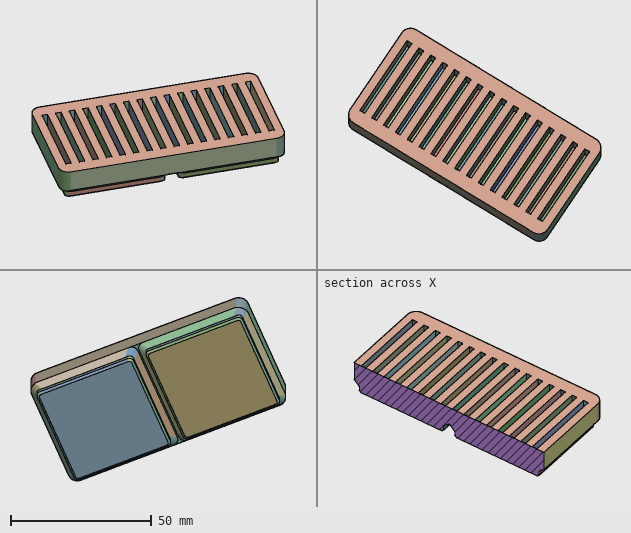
import cadquery as cq

block_width = 41.5
block_length = 83.5
total_height = 12.8
corner_radius = 3.75

foot_count = 2
flare_height = 2.2
stem_height = 1.75
toe_chamfer = 0.8
foot_pitch = block_length - block_width
foot_height = flare_height + stem_height + toe_chamfer

slot_count = 16
slot_pitch = 5.0
slot_length = 31.1
slot_width = 2.0
slot_depth = 6.0


def rounded_block(width, length, height, radius, bottom):
    """Upright block with rounded corners, centred in X and Y, standing at Z = bottom."""
    return (
        cq.Workplane("XY")
        .workplane(offset=bottom)
        .rect(width, length)
        .extrude(height)
        .edges("|Z")
        .fillet(radius)
    )


def tapered_pad(side, height, radius, bottom):
    """Square pad widening upward at 45 degrees to `side`, with its slanted corner edges rounded."""
    return (
        cq.Workplane("XY")
        .workplane(offset=bottom + height)
        .rect(side, side)
        .extrude(-height, taper=45)
        .edges("not #Z")
        .fillet(radius)
    )


def make_foot():
    """One stepped foot, centred in X and Y, with its underside at Z = 0."""
    stem_side = block_width - 2 * flare_height
    stem_radius = corner_radius - flare_height
    stem_top = toe_chamfer + stem_height

    toe = tapered_pad(stem_side, toe_chamfer, stem_radius, 0)
    upper_stem = rounded_block(stem_side, stem_side, foot_height - toe_chamfer, stem_radius, toe_chamfer)
    stem_envelope = rounded_block(stem_side, stem_side, foot_height, stem_radius, 0)
    flare = tapered_pad(block_width, flare_height, corner_radius, stem_top)
    return toe.union(upper_stem).intersect(stem_envelope).union(flare)


def make_slots():
    """Row of straight slots along Y, cut down from the top face."""
    return (
        cq.Workplane("XY")
        .workplane(offset=total_height)
        .rarray(0.8, slot_pitch, 1, slot_count)
        .rect(slot_length, slot_width)
        .extrude(-slot_depth)
    )


body_height = total_height - foot_height
block = rounded_block(block_width, block_length, body_height, corner_radius, foot_height)

for index in range(foot_count):
    foot_y = (index - (foot_count - 1) / 2) * foot_pitch
    block = block.union(make_foot().translate((0, foot_y, 0)))

outline = rounded_block(block_width, block_length, total_height, corner_radius, 0)
result = block.intersect(outline).cut(make_slots()).solids()